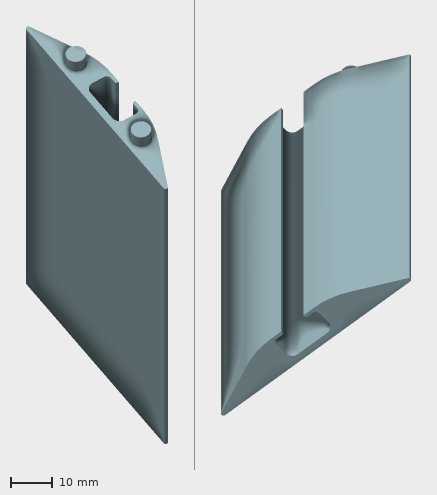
import cadquery as cq
import math

width = 60.2
thickness = 9.5
total_height = 104.0
pin_length = 4.0
body_height = total_height - pin_length
edge_thickness = 0.9
edge_fillet = 0.5
slope_angle = math.radians(25)
shoulder_radius = 21.8

slot_width = 13.7
slot_opening = 7.1
slot_floor = 1.9
lip_thickness = 0.9
floor_fillet = 2.1
lip_fillet = 1.2
lip_edge_fillet = 0.5

pin_diameter = 5.0
root_flare = 0.2
pin_spacing = 28.1
pin_y = 4.0
pin_chamfer = 0.1


def make_body():
    """Bar with a flat base and sloping sides that round into a flat crown."""
    half = width / 2
    crown_x = half - (thickness - edge_thickness) / math.tan(slope_angle)
    tangent_length = shoulder_radius * math.tan(slope_angle / 2)
    flat_x = crown_x - tangent_length
    slope_x = flat_x + shoulder_radius * math.sin(slope_angle)
    slope_y = thickness - shoulder_radius * (1 - math.cos(slope_angle))
    middle_x = flat_x + shoulder_radius * math.sin(slope_angle / 2)
    middle_y = thickness - shoulder_radius * (1 - math.cos(slope_angle / 2))
    return (
        cq.Workplane("XY")
        .moveTo(-half, 0)
        .lineTo(half, 0)
        .lineTo(half, edge_thickness)
        .lineTo(slope_x, slope_y)
        .threePointArc((middle_x, middle_y), (flat_x, thickness))
        .lineTo(-flat_x, thickness)
        .threePointArc((-middle_x, middle_y), (-slope_x, slope_y))
        .lineTo(-half, edge_thickness)
        .close()
        .extrude(body_height)
        .edges("|Z and <Y")
        .fillet(edge_fillet)
    )


def cut_slot(body):
    """Cut the T-shaped slot through the full height and round its lips."""
    channel_depth = thickness - lip_thickness - slot_floor
    channel = (
        cq.Workplane("XY")
        .box(slot_width, channel_depth, body_height, centered=(True, False, False))
        .translate((0, slot_floor, 0))
    )
    channel = channel.edges("|Z and <Y").fillet(floor_fillet)
    channel = channel.edges("|Z and >Y").fillet(lip_fillet)
    opening = (
        cq.Workplane("XY")
        .box(slot_opening, thickness - slot_floor, body_height, centered=(True, False, False))
        .translate((0, slot_floor, 0))
    )
    slotted = body.cut(channel.union(opening))
    lip_y = thickness - lip_thickness
    for side in (-1, 1):
        lip_edge = cq.selectors.NearestToPointSelector((side * slot_opening / 2, lip_y, body_height / 2))
        slotted = slotted.edges(lip_edge).fillet(lip_edge_fillet)
    return slotted


def make_pin(x):
    """Revolve a pin with a short flare at its root and a chamfered tip."""
    radius = pin_diameter / 2
    root_radius = radius + root_flare
    tip_radius = radius - pin_chamfer
    half_section = [
        (0, 0),
        (root_radius, 0),
        (radius, root_flare),
        (radius, pin_length - pin_chamfer),
        (tip_radius, pin_length),
        (0, pin_length),
    ]
    pin = cq.Workplane("XZ").polyline(half_section).close().revolve(360, (0, 0), (0, 1))
    return pin.translate((x, pin_y, body_height))


result = cut_slot(make_body())
for pin_x in (-pin_spacing / 2, pin_spacing / 2):
    result = result.union(make_pin(pin_x))